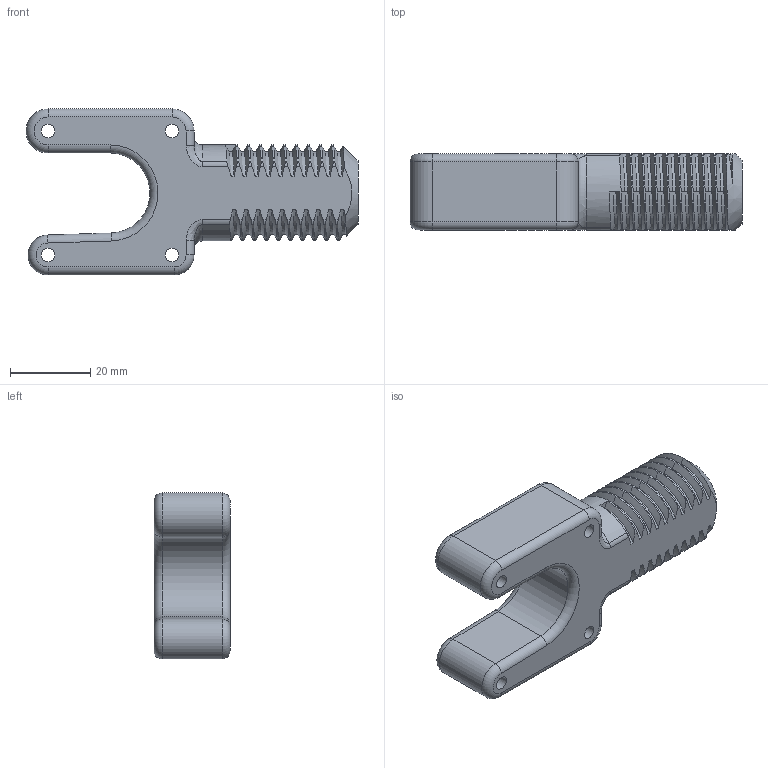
import cadquery as cq
import math

THICKNESS = 19.0
HALF_THICKNESS = THICKNESS / 2
HOLE_SPACING = 31.0
HALF_SPACING = HOLE_SPACING / 2
HOLE_DIAMETER = 3.4
SLOT_RADIUS = 10.0
EDGE_FILLET = 2.0

UPPER_RADIUS = 5.5
LOWER_RADIUS = 5.0
SHOULDER_X = HALF_SPACING + UPPER_RADIUS

SHANK_END = 62.0
SHANK_RADIUS = 12.0
END_CHAMFER = 4.0
NECK_FILLET = 2.0
THREAD_PITCH = 3.0
THREAD_TURNS = 10
THREAD_START = 30.1
FLANK_ANGLE = 30.0
GROOVE_ROOT_WIDTH = THREAD_PITCH / 4
GROOVE_DEPTH = 5 / 16 * THREAD_PITCH / math.tan(math.radians(FLANK_ANGLE))
GROOVE_OVERCUT = 0.1


def circle_point(centre, radius, angle):
    """Point of a circle in the XZ plane."""
    return (centre[0] + radius * math.cos(angle), centre[1] + radius * math.sin(angle))


def prong_tangent(tip_centre, tip_radius, side):
    """Ends of an inner prong line that touches the slot arc and the tip arc (side +1 upper, -1 lower)."""
    gap = math.hypot(*tip_centre)
    bearing = math.atan2(tip_centre[1], tip_centre[0])
    slot_angle = bearing - side * math.acos((SLOT_RADIUS + tip_radius) / gap)
    slot_end = circle_point((0, 0), SLOT_RADIUS, slot_angle)
    tip_end = circle_point(tip_centre, tip_radius, slot_angle + math.pi)
    return slot_end, tip_end


def make_fork_blank():
    """Plate with two rounded prongs, a slot between them and two rounded shoulder corners."""
    upper_tip = (-HALF_SPACING, HALF_SPACING)
    lower_tip = (-HALF_SPACING, -HALF_SPACING)
    upper_corner = (SHOULDER_X - UPPER_RADIUS, HALF_SPACING)
    lower_corner = (SHOULDER_X - LOWER_RADIUS, -HALF_SPACING)
    top_z = HALF_SPACING + UPPER_RADIUS
    bottom_z = -HALF_SPACING - LOWER_RADIUS
    upper_slot_end, upper_tip_end = prong_tangent(upper_tip, UPPER_RADIUS, 1)
    lower_slot_end, lower_tip_end = prong_tangent(lower_tip, LOWER_RADIUS, -1)

    outline = (
        cq.Workplane("XZ", origin=(0, HALF_THICKNESS, 0))
        .moveTo(-HALF_SPACING, bottom_z)
        .lineTo(lower_corner[0], bottom_z)
        .threePointArc(
            circle_point(lower_corner, LOWER_RADIUS, -math.pi / 4),
            (SHOULDER_X, -HALF_SPACING),
        )
        .lineTo(SHOULDER_X, HALF_SPACING)
        .threePointArc(
            circle_point(upper_corner, UPPER_RADIUS, math.pi / 4),
            (upper_corner[0], top_z),
        )
        .lineTo(-HALF_SPACING, top_z)
        .threePointArc((-HALF_SPACING - UPPER_RADIUS, HALF_SPACING), upper_tip_end)
        .lineTo(*upper_slot_end)
        .threePointArc((SLOT_RADIUS, 0), lower_slot_end)
        .lineTo(*lower_tip_end)
        .threePointArc((-HALF_SPACING - LOWER_RADIUS, -HALF_SPACING), (-HALF_SPACING, bottom_z))
        .close()
    )
    return outline.extrude(THICKNESS)


def make_shank_blank():
    """Round bar from inside the plate to the shank end, cut down to the plate thickness."""
    bar = cq.Workplane("YZ", origin=(HALF_SPACING, 0, 0)).circle(SHANK_RADIUS)
    bar = bar.extrude(SHANK_END - HALF_SPACING)
    slab = cq.Workplane("XY").box(2 * SHANK_END, THICKNESS, 2 * SHANK_RADIUS)
    return bar.intersect(slab)


def round_edges(body):
    """Blend the shank into the plate, then round the rim of both flat faces."""
    neck_zone = cq.selectors.BoxSelector(
        (SHOULDER_X - NECK_FILLET, -EDGE_FILLET, -SHANK_RADIUS),
        (SHOULDER_X + NECK_FILLET, EDGE_FILLET, SHANK_RADIUS),
    )
    body = body.edges(neck_zone).fillet(NECK_FILLET)
    rims = body.faces("<Y or >Y").edges("not(>X)")
    return rims.fillet(EDGE_FILLET)


def make_end_chamfer_cutter():
    """Ring with a 45 degree inner flank that bevels the round end of the shank."""
    return (
        cq.Workplane("XY")
        .moveTo(SHANK_END - END_CHAMFER, SHANK_RADIUS)
        .lineTo(SHANK_END, SHANK_RADIUS - END_CHAMFER)
        .lineTo(SHANK_END + END_CHAMFER, SHANK_RADIUS - END_CHAMFER)
        .lineTo(SHANK_END + END_CHAMFER, SHANK_RADIUS + END_CHAMFER)
        .lineTo(SHANK_END - END_CHAMFER, SHANK_RADIUS + END_CHAMFER)
        .close()
        .revolve(360, (0, 0, 0), (1, 0, 0))
    )


def make_thread_turn_cutter():
    """Trapezoid groove swept along one right-hand turn that starts at the top of the shank."""
    root_radius = SHANK_RADIUS - GROOVE_DEPTH
    outer_radius = SHANK_RADIUS + GROOVE_OVERCUT
    root_half = GROOVE_ROOT_WIDTH / 2
    outer_half = root_half + (outer_radius - root_radius) * math.tan(math.radians(FLANK_ANGLE))
    helix = cq.Wire.makeHelix(THREAD_PITCH, THREAD_PITCH, root_radius)
    groove = (
        cq.Workplane("XZ")
        .moveTo(root_radius, -root_half)
        .lineTo(outer_radius, -outer_half)
        .lineTo(outer_radius, outer_half)
        .lineTo(root_radius, root_half)
        .close()
        .sweep(cq.Workplane(obj=helix), isFrenet=True)
    )
    groove = groove.rotate((0, 0, 0), (0, 1, 0), 90)
    groove = groove.rotate((0, 0, 0), (1, 0, 0), 180)
    return groove.translate((THREAD_START, 0, 0))


def cut_thread(body):
    """Thread groove, cut one turn at a time so that each turn continues the one before it."""
    turn_cutter = make_thread_turn_cutter()
    for turn in range(THREAD_TURNS):
        body = body.cut(turn_cutter.translate((turn * THREAD_PITCH, 0, 0)))
    return body


def drill_holes(body):
    """Four through holes, two along each prong line."""
    holes = (
        cq.Workplane("XZ", origin=(0, HALF_THICKNESS, 0))
        .rect(HOLE_SPACING, HOLE_SPACING, forConstruction=True)
        .vertices()
        .circle(HOLE_DIAMETER / 2)
        .extrude(THICKNESS)
    )
    return body.cut(holes)


part = round_edges(make_fork_blank().union(make_shank_blank(), clean=True))
part = part.cut(make_end_chamfer_cutter())
part = cut_thread(part)
result = drill_holes(part)